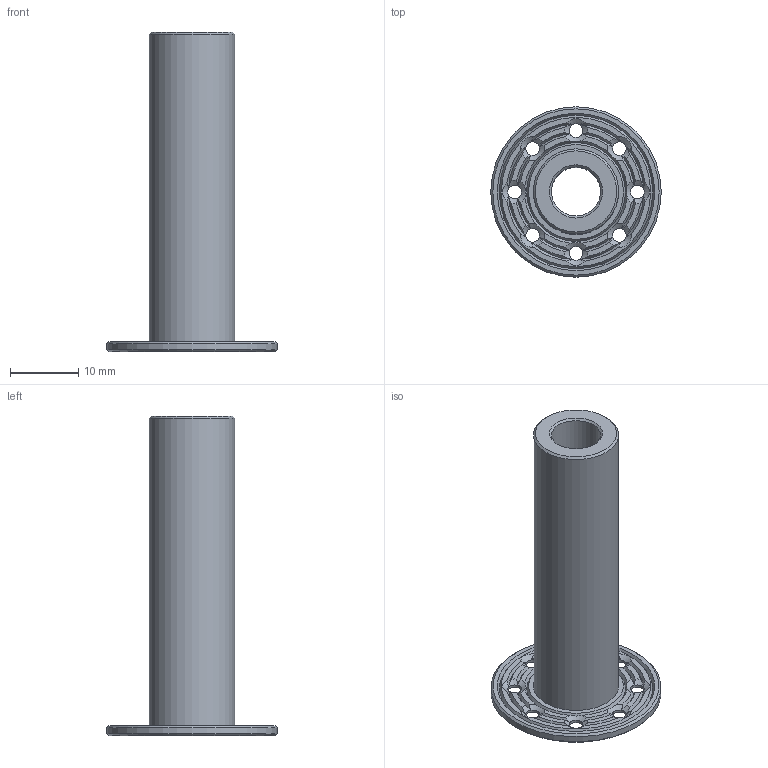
import cadquery as cq

total_height = 46.88
flange_diameter = 25.0
flange_thickness = 1.5
tube_diameter = 12.5
bore_diameter = 7.2
edge_chamfer = 0.3

hole_count = 8
hole_diameter = 2.0
hole_circle_diameter = 18.0
countersink_diameter = 3.5
countersink_depth = 0.55

groove_count = 4
inner_land_width = 1.0
outer_land_width = 1.25
first_groove_radius = tube_diameter / 2 + inner_land_width
last_groove_radius = flange_diameter / 2 - outer_land_width
groove_pitch = (last_groove_radius - first_groove_radius) / (groove_count - 1)
groove_width = 0.6
groove_depth = 0.5


def make_flange():
    """Disc on the XY plane, chamfered along both rims."""
    disc = cq.Workplane("XY").circle(flange_diameter / 2).extrude(flange_thickness)
    return disc.faces("<Z or >Z").edges().chamfer(edge_chamfer)


def make_tube():
    """Solid column through the flange, chamfered at its top."""
    column = cq.Workplane("XY").circle(tube_diameter / 2).extrude(total_height)
    return column.faces(">Z").edges().chamfer(edge_chamfer)


def revolve_profile(profile):
    """Turn a closed (radius, height) outline about the Z axis."""
    return cq.Workplane("XZ").polyline(profile).close().revolve(360, (0, 0), (0, 1))


def make_bore():
    """Through bore with a conical lead-in at the top."""
    bore_radius = bore_diameter / 2
    return revolve_profile([
        (0, 0),
        (bore_radius, 0),
        (bore_radius, total_height - edge_chamfer),
        (bore_radius + edge_chamfer, total_height),
        (0, total_height),
    ])


def make_groove(radius):
    """V-shaped ring, open at the upper flange face."""
    return revolve_profile([
        (radius - groove_width / 2, flange_thickness),
        (radius, flange_thickness - groove_depth),
        (radius + groove_width / 2, flange_thickness),
    ])


def make_screw_hole():
    """Through hole on the Z axis, widening conically towards both flange faces."""
    hole_radius = hole_diameter / 2
    countersink_radius = countersink_diameter / 2
    return revolve_profile([
        (0, 0),
        (countersink_radius, 0),
        (hole_radius, countersink_depth),
        (hole_radius, flange_thickness - countersink_depth),
        (countersink_radius, flange_thickness),
        (0, flange_thickness),
    ])


flange = make_flange()

for groove_index in range(groove_count):
    flange = flange.cut(make_groove(first_groove_radius + groove_index * groove_pitch))

first_hole = make_screw_hole().translate((hole_circle_diameter / 2, 0, 0))
for hole_index in range(hole_count):
    hole_angle = hole_index * 360 / hole_count
    flange = flange.cut(first_hole.rotate((0, 0, 0), (0, 0, 1), hole_angle))

result = flange.union(make_tube()).cut(make_bore())